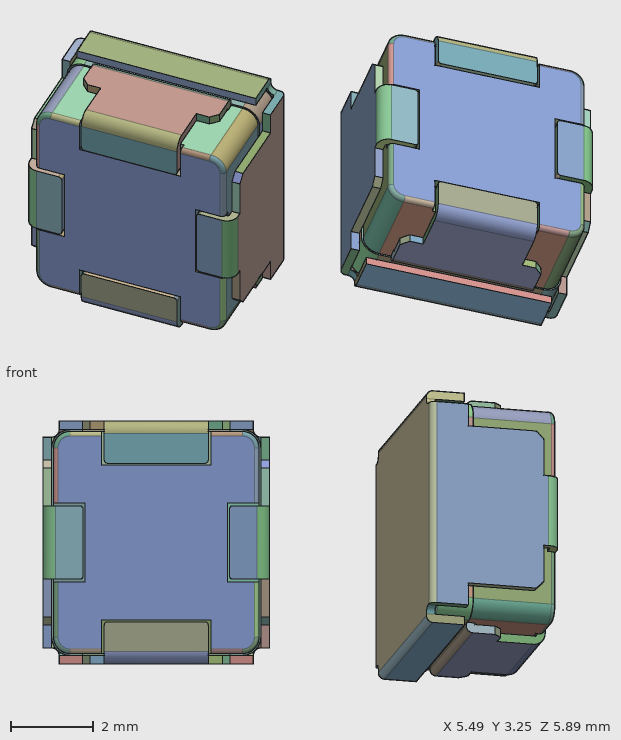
import cadquery as cq

WIDTH = 5.49
DEPTH = 3.25
HEIGHT = 5.89
FRONT = -DEPTH / 2
BACK = DEPTH / 2

SHEET = 0.21
REAR_BEND = 0.16
FRONT_BEND = 0.3
INNER_BEND = 0.05
CHAMFER = 0.19
TAB_CORNER = 0.08

CAP_SIDE_DEPTH = 0.95
CORNER_NOTCH = 0.175

FLANGE_WIDTH = WIDTH - 2 * SHEET
FLANGE_HEIGHT = HEIGHT - 2 * SHEET
FLANGE_CORNER = 0.44
FLANGE_FRONT = BACK - 1.13
BODY_INSET = 0.04
BODY_FRONT = FRONT + 0.05
BODY_FILLET = 0.11

SIDE_PLATE_WIDTH = 3.995
SIDE_PLATE_FRONT = BACK - 2.84
SIDE_TAB_WIDTH = 1.78
SIDE_TAB_REACH = 0.97
END_TERMINAL_REAR = FLANGE_FRONT - 0.01
END_PLATE_WIDTH = 3.58
END_PLATE_FRONT = BACK - 2.05
END_TAB_WIDTH = 2.52
END_TAB_REACH = 1.025

POCKET_CLEARANCE = 0.07
POCKET_GAP = 0.05
POCKET_FLOOR = FRONT + SHEET + POCKET_GAP


def block(size_x, size_z, y_front, y_back):
    """Box centred in X and Z between two Y positions."""
    return cq.Workplane("XY").box(size_x, y_back - y_front, size_z).translate((0, (y_front + y_back) / 2, 0))


def to_end(side_shape):
    """Turn a shape on the +X side onto the +Z end."""
    return side_shape.rotate((0, 0, 0), (0, 1, 0), -90)


def core():
    """Flange and body with the back and front rims rounded."""
    flange = block(FLANGE_WIDTH, FLANGE_HEIGHT, FLANGE_FRONT, BACK - SHEET)
    flange = flange.edges("|Y").fillet(FLANGE_CORNER).faces(">Y").edges().fillet(INNER_BEND)
    body = block(FLANGE_WIDTH - 2 * BODY_INSET, FLANGE_HEIGHT - 2 * BODY_INSET, BODY_FRONT, FLANGE_FRONT)
    body = body.edges("|Y").fillet(FLANGE_CORNER - BODY_INSET).faces("<Y").edges().fillet(BODY_FILLET)
    return flange.union(body)


def tab_pocket(outer_face, tab_width, tab_reach):
    """Cutter on the +X side that gives a terminal tab clearance in the body."""
    length = tab_reach + POCKET_GAP
    pocket = block(length, tab_width + 2 * POCKET_CLEARANCE, FRONT, POCKET_FLOOR)
    return pocket.translate((outer_face - length / 2, 0, 0))


def rear_cap():
    """Back plate with four walls folded forward and concave corner notches."""
    cap_front = BACK - CAP_SIDE_DEPTH
    cap = block(WIDTH, HEIGHT, cap_front, BACK).faces(">Y").edges().fillet(REAR_BEND)
    cavity = block(FLANGE_WIDTH, FLANGE_HEIGHT, cap_front, BACK - SHEET)
    cap = cap.cut(cavity.faces(">Y").edges().fillet(INNER_BEND))

    relief_size = SHEET + CORNER_NOTCH
    for side_x in (-1, 1):
        for side_z in (-1, 1):
            inner_x = side_x * FLANGE_WIDTH / 2
            inner_z = side_z * FLANGE_HEIGHT / 2
            wall_end = block(SHEET, relief_size, cap_front, BACK).translate(
                (side_x * (WIDTH - SHEET) / 2, 0, side_z * (HEIGHT - relief_size) / 2)
            )
            wall_side = block(relief_size, SHEET, cap_front, BACK).translate(
                (side_x * (WIDTH - relief_size) / 2, 0, side_z * (HEIGHT - SHEET) / 2)
            )
            notch_plane = cq.Workplane("XZ", origin=(inner_x, BACK, inner_z))
            notch = notch_plane.circle(CORNER_NOTCH).extrude(CAP_SIDE_DEPTH)
            cap = cap.cut(wall_end).cut(wall_side).cut(notch)
    return cap


def terminal(outer_face, rear, plate_width, plate_front, tab_width, tab_reach):
    """Terminal on the +X side: wide plate along the wall, narrower tab folded over the front."""
    inner_face = outer_face - SHEET
    tab_end = outer_face - tab_reach
    strip = (
        cq.Workplane("XY")
        .moveTo(outer_face, rear)
        .lineTo(outer_face, FRONT + FRONT_BEND)
        .radiusArc((outer_face - FRONT_BEND, FRONT), FRONT_BEND)
        .lineTo(tab_end, FRONT)
        .lineTo(tab_end, FRONT + SHEET)
        .lineTo(inner_face - INNER_BEND, FRONT + SHEET)
        .radiusArc((inner_face, FRONT + SHEET + INNER_BEND), -INNER_BEND)
        .lineTo(inner_face, rear)
        .close()
        .extrude(plate_width / 2, both=True)
    )
    plate = block(2 * outer_face, plate_width, plate_front, rear)
    plate = plate.faces("<Y").edges("|X").chamfer(CHAMFER)
    tab = block(2 * outer_face, tab_width, FRONT, rear)
    shape = strip.intersect(plate.union(tab))
    return shape.faces("<X").edges("|Y").fillet(TAB_CORNER)


def end_anchor():
    """Inward fold at the rear of an end terminal, rooted in the body beside the flange."""
    anchor_reach = SHEET + BODY_INSET + SHEET
    anchor = block(anchor_reach, END_PLATE_WIDTH, END_TERMINAL_REAR - SHEET, END_TERMINAL_REAR)
    return anchor.translate(((HEIGHT - anchor_reach) / 2, 0, 0))


side_pocket = tab_pocket(WIDTH / 2, SIDE_TAB_WIDTH, SIDE_TAB_REACH)
end_pocket = to_end(tab_pocket(HEIGHT / 2, END_TAB_WIDTH, END_TAB_REACH))

side_terminal = terminal(
    WIDTH / 2, BACK - CAP_SIDE_DEPTH, SIDE_PLATE_WIDTH, SIDE_PLATE_FRONT, SIDE_TAB_WIDTH, SIDE_TAB_REACH
)
end_terminal = terminal(
    HEIGHT / 2, END_TERMINAL_REAR, END_PLATE_WIDTH, END_PLATE_FRONT, END_TAB_WIDTH, END_TAB_REACH
).union(end_anchor())
end_terminal = to_end(end_terminal.edges(">X and >Y").fillet(REAR_BEND))

result = core()
for pocket, mirror_plane in ((side_pocket, "YZ"), (end_pocket, "XY")):
    result = result.cut(pocket).cut(pocket.mirror(mirror_plane))
result = result.union(rear_cap())
for clip, mirror_plane in ((side_terminal, "YZ"), (end_terminal, "XY")):
    result = result.union(clip).union(clip.mirror(mirror_plane))